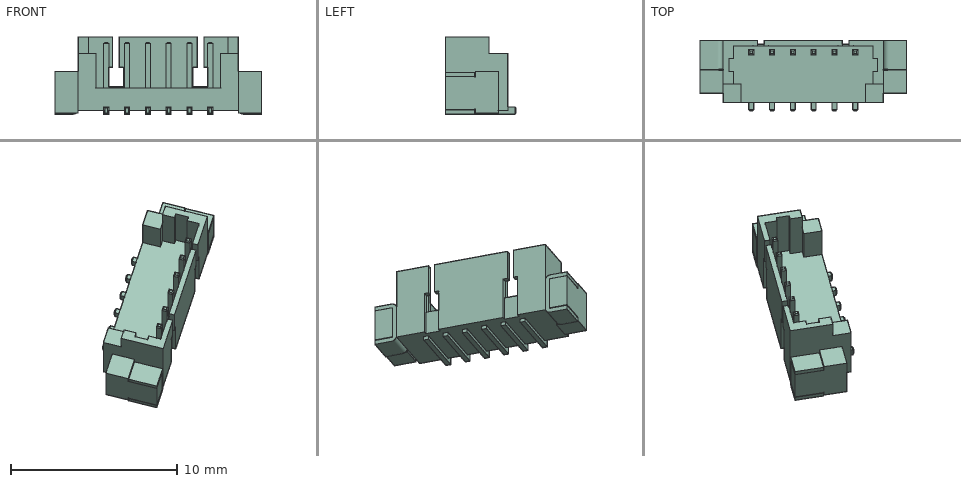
import cadquery as cq


overall_width = 12.45
housing_width = 9.64
housing_side = housing_width / 2
housing_depth = 3.75
housing_bottom = 0.22
housing_top = 4.66
floor_top = 1.59

rear_wall = 0.34
cavity_width = 8.4
niche_width = 8.94
niche_rear = 1.08
niche_length = 0.8
post_gap = 7.51
post_length = 1.12
post_top = 3.66
post_rear = housing_depth - post_length

latch_offset = 2.55
latch_slot_width = 0.39
latch_window_width = 0.92
latch_window_top = 2.83
sill_top = 1.67
sill_setback = 0.24

pin_count = 6
pin_span = 6.25
pin_pitch = pin_span / (pin_count - 1)
pin_size = 0.31
pin_rear = 0.56
pin_top = 4.32
tail_height = 0.45
tail_front = 4.25
tip_chamfer = 0.07

wing_front = 3.19
wing_bottom = 0.07
wing_top = 2.58

clip_length = 1.75
clip_top = 2.53
clip_thickness = 0.26
clip_bend_radius = 0.32
clip_inner_radius = clip_bend_radius - clip_thickness
clip_inner_side = housing_side + clip_thickness
clip_clearance = 0.04


def block(x_min, x_max, rear, front, z_min, z_max):
    """Box whose rear and front are distances forward (-Y) of the rear face."""
    size = (x_max - x_min, front - rear, z_max - z_min)
    return cq.Workplane("XY").box(*size, centered=False).translate((x_min, -front, z_min))


def centred_block(width, rear, front, z_min, z_max, x_centre=0.0):
    return block(x_centre - width / 2, x_centre + width / 2, rear, front, z_min, z_max)


def make_shell():
    shell = centred_block(housing_width, 0, housing_depth, housing_bottom, housing_top)
    cavity = centred_block(cavity_width, rear_wall, post_rear, floor_top, housing_top)
    niches = centred_block(niche_width, niche_rear, niche_rear + niche_length, floor_top, housing_top)
    front_opening = centred_block(post_gap, post_rear, housing_depth, floor_top, housing_top)
    above_posts = centred_block(housing_width, post_rear, housing_depth, post_top, housing_top)
    return shell.cut(cavity).cut(niches).cut(front_opening).cut(above_posts)


def make_latch_opening(x_centre):
    slot = centred_block(latch_slot_width, 0, rear_wall, sill_top, housing_top, x_centre)
    window = centred_block(latch_window_width, 0, rear_wall, sill_top, latch_window_top, x_centre)
    groove = centred_block(latch_window_width, 0, sill_setback, housing_bottom, sill_top, x_centre)
    return slot.union(window).union(groove)


def make_contact(x_centre):
    """L-shaped contact: an upright pin and a tail running forward along the mounting plane."""
    pin = centred_block(pin_size, pin_rear, pin_rear + pin_size, 0, pin_top, x_centre)
    pin = pin.faces(">Z").chamfer(tip_chamfer)
    tail = centred_block(pin_size, pin_rear, tail_front, 0, tail_height, x_centre)
    tail = tail.faces("<Y").chamfer(tip_chamfer)
    return pin.union(tail)


def make_clip_block(top, bottom, web, bend_radius):
    """Block from the web plane out to the right-hand end, rounded along its two inner edges."""
    height = top - bottom
    width = overall_width / 2 - web
    return (
        cq.Workplane("XY")
        .box(width, clip_length, height, centered=False)
        .edges("|Y and <X")
        .fillet(bend_radius)
        .translate((web, -clip_length, bottom))
    )


def make_clip():
    """Solder clip of the right-hand side."""
    outside = make_clip_block(clip_top, 0, housing_side, clip_bend_radius)
    inside = make_clip_block(
        clip_top - clip_thickness, clip_thickness, clip_inner_side, clip_inner_radius
    )
    return outside.cut(inside)


def make_wing():
    """Right-hand wing: a full block in front and a tongue behind it that fills the clip."""
    front_block_rear = clip_length + clip_clearance
    front_block = block(
        housing_side, overall_width / 2, front_block_rear, wing_front, wing_bottom, wing_top
    )
    tongue = make_clip_block(
        clip_top - clip_thickness,
        clip_thickness + clip_clearance,
        clip_inner_side,
        clip_inner_radius,
    )
    bridge = block(
        clip_inner_side,
        overall_width / 2,
        clip_length,
        front_block_rear,
        clip_thickness + clip_clearance,
        clip_top - clip_thickness,
    )
    return front_block.union(tongue).union(bridge)


def make_housing():
    housing = make_shell()
    for side in (-1, 1):
        housing = housing.cut(make_latch_opening(side * latch_offset))
    wing = make_wing()
    housing = housing.union(wing).union(wing.mirror("YZ"))
    for index in range(pin_count):
        housing = housing.union(make_contact(index * pin_pitch - pin_span / 2))
    return housing


housing = make_housing()
right_clip = make_clip()
left_clip = right_clip.mirror("YZ")

result = cq.Compound.makeCompound([housing.val(), right_clip.val(), left_clip.val()])